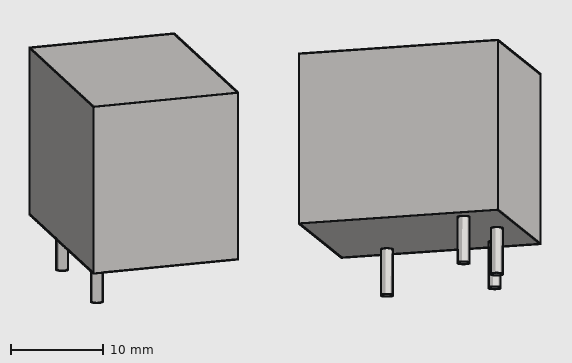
import cadquery as cq

length = 22.5
width = 16.5
total_height = 24.1

pin_diameter = 1.3
pin_length = 5.1
housing_height = total_height - pin_length

common_pin_x = -8.72
coil_pin_x = -6.72
contact_pin_x = 5.47
pin_row_y = 6.0

pin_positions = [
    (common_pin_x, 0),
    (coil_pin_x, -pin_row_y),
    (coil_pin_x, pin_row_y),
    (contact_pin_x, -pin_row_y),
]


def make_housing():
    """Plain block with its underside at Z = 0."""
    return cq.Workplane("XY").box(length, width, housing_height, centered=(True, True, False))


def make_pin(x, y):
    """Round pin hanging from the underside of the housing."""
    return cq.Workplane("XY").center(x, y).circle(pin_diameter / 2).extrude(-pin_length)


housing = make_housing()
pins = [make_pin(x, y) for x, y in pin_positions]

result = cq.Compound.makeCompound([housing.val(), *[pin.val() for pin in pins]])